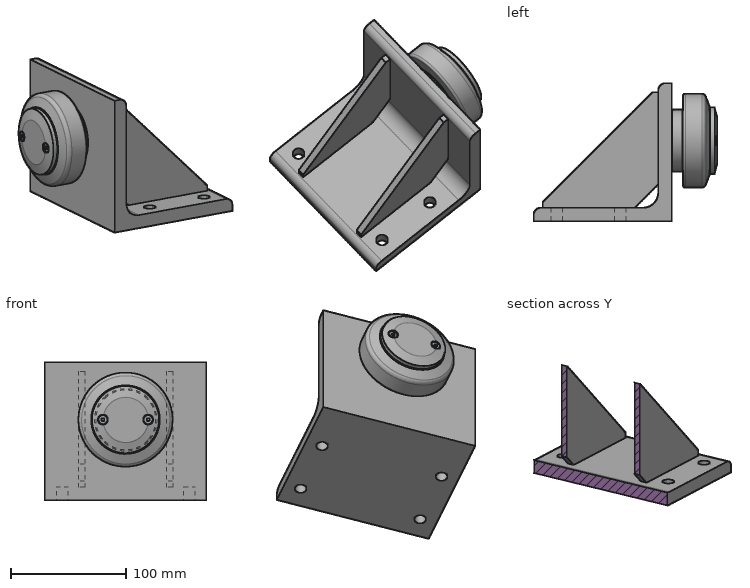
import cadquery as cq
import math

overall_depth = 159.5
bracket_width = 140.0
leg_length = 120.0
leg_thickness = 12.0
root_radius = 12.9
toe_radius = root_radius / 2

rib_thickness = 5.9
rib_outer_x = 41.2
rib_reach = 112.0
rib_end_height = 5.0
rib_corner_cut = 20.0

mount_hole_diameter = 10.0
mount_hole_x = 55.0
mount_hole_near_y = 45.0
mount_hole_far_y = 100.0

roller_height = 70.0
protrusion = overall_depth - leg_length
gap_radius = 52.0 / 2
gap_width = 0.5
neck_radius = 54.0 / 2
roller_radius = 40.8
roller_back = 9.5
roller_front = 32.7
roller_front_radius = 29.8
roller_cone_angle = 21
roller_back_fillet = 2.0
roller_front_fillet = 4.0
cap_radius = 58.0 / 2
cap_shoulder = 37.0
cap_face_radius = 19.6

screw_hole_diameter = 8.6
screw_head_diameter = 7.8
screw_socket_diameter = 2.7
screw_hole_depth = 2.5
screw_head_recess = 1.0


def make_angle():
    profile = (
        cq.Workplane("YZ")
        .polyline([
            (0, 0),
            (leg_length, 0),
            (leg_length, leg_thickness),
            (leg_thickness, leg_thickness),
            (leg_thickness, leg_length),
            (0, leg_length),
        ])
        .close()
        .extrude(bracket_width / 2, both=True)
    )
    root = cq.selectors.NearestToPointSelector((0, leg_thickness, leg_thickness))
    horizontal_toe = cq.selectors.NearestToPointSelector((0, leg_length, leg_thickness))
    vertical_toe = cq.selectors.NearestToPointSelector((0, leg_thickness, leg_length))
    angle = profile.edges(root).fillet(root_radius)
    angle = angle.edges(horizontal_toe).fillet(toe_radius)
    return angle.edges(vertical_toe).fillet(toe_radius)


def make_rib(start_x):
    inside = leg_thickness
    end = inside + rib_end_height
    cut = inside + rib_corner_cut
    return (
        cq.Workplane("YZ", origin=(start_x, 0, 0))
        .polyline([
            (cut, inside),
            (rib_reach, inside),
            (rib_reach, end),
            (end, rib_reach),
            (inside, rib_reach),
            (inside, cut),
        ])
        .close()
        .extrude(rib_thickness)
    )


def mount_holes():
    columns = (-mount_hole_x, mount_hole_x)
    rows = (mount_hole_near_y, mount_hole_far_y)
    centers = [(x, y) for x in columns for y in rows]
    return cq.Workplane("XY").pushPoints(centers).circle(mount_hole_diameter / 2).extrude(leg_thickness)


def revolve_about_roller_axis(outline):
    """Revolve an outline of (radius, distance from mounting face) points."""
    return (
        cq.Workplane("XY", origin=(0, 0, roller_height))
        .polyline([(radius, -distance) for radius, distance in outline])
        .close()
        .revolve(360, (0, 0, 0), (0, 1, 0))
    )


def make_shaft_and_cap():
    return revolve_about_roller_axis([
        (0, 0),
        (gap_radius, 0),
        (gap_radius, gap_width),
        (neck_radius, gap_width),
        (neck_radius, roller_back - gap_width),
        (gap_radius, roller_back - gap_width),
        (gap_radius, roller_front + gap_width),
        (cap_radius, roller_front + gap_width),
        (cap_radius, cap_shoulder),
        (cap_face_radius, protrusion),
        (0, protrusion),
    ])


def make_roller():
    cone_depth = (roller_radius - roller_front_radius) * math.tan(math.radians(roller_cone_angle))
    cone_start = roller_front - cone_depth
    roller = revolve_about_roller_axis([
        (0, roller_back),
        (roller_radius, roller_back),
        (roller_radius, cone_start),
        (roller_front_radius, roller_front),
        (0, roller_front),
    ])
    front_rim = cq.selectors.NearestToPointSelector((0, -cone_start, roller_height))
    roller = roller.edges(front_rim).fillet(roller_front_fillet)
    return roller.faces(">Y").edges().fillet(roller_back_fillet)


def cylinder_at_screw(x, diameter, top, depth):
    """Cylinder whose outer end is `top` from the mounting face and which runs `depth` inward."""
    return (
        cq.Workplane("XZ", origin=(x, -top, roller_height))
        .circle(diameter / 2)
        .extrude(-depth)
    )


result = make_angle()
for rib_start_x in (-rib_outer_x, rib_outer_x - rib_thickness):
    result = result.union(make_rib(rib_start_x))
result = result.cut(mount_holes())
result = result.union(make_shaft_and_cap()).union(make_roller())

for screw_x in (-cap_face_radius, cap_face_radius):
    head_top = protrusion - screw_head_recess
    head_height = screw_hole_depth - screw_head_recess
    hole = cylinder_at_screw(screw_x, screw_hole_diameter, protrusion, screw_hole_depth)
    head = cylinder_at_screw(screw_x, screw_head_diameter, head_top, head_height)
    socket = cylinder_at_screw(screw_x, screw_socket_diameter, head_top, head_height)
    result = result.cut(hole).union(head).cut(socket)